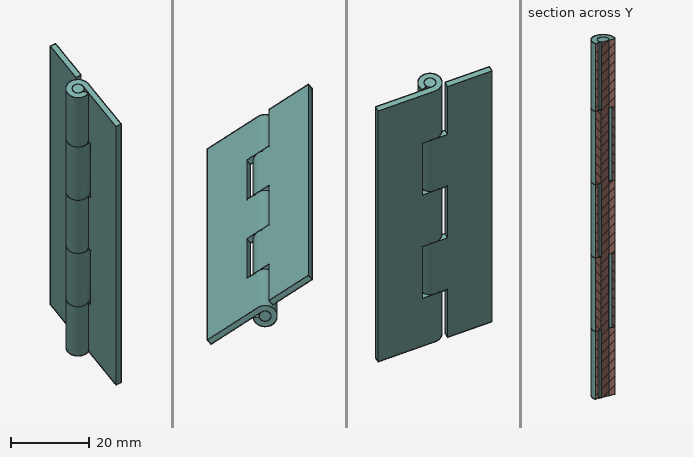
import cadquery as cq
import math

LENGTH = 100.0
WIDTH = 32.0
THICKNESS = 1.6
PIN_DIAMETER = 3.0
KNUCKLE_GAP = 0.4
INNER_KNUCKLE_LENGTH = 20.6
INNER_KNUCKLE_COUNT = 3
CURL_END_ANGLE = 27.0

PIN_RADIUS = PIN_DIAMETER / 2
BARREL_RADIUS = PIN_RADIUS + THICKNESS
LEAF_EDGE = BARREL_RADIUS + KNUCKLE_GAP
END_KNUCKLE_LENGTH = (LENGTH - INNER_KNUCKLE_COUNT * INNER_KNUCKLE_LENGTH) / 2

JOINTS = [END_KNUCKLE_LENGTH + i * INNER_KNUCKLE_LENGTH for i in range(INNER_KNUCKLE_COUNT + 1)]
LEVELS = [0.0] + JOINTS + [LENGTH]
KNUCKLES = list(zip(LEVELS[:-1], LEVELS[1:]))


def polar(radius, degrees):
    """Point at an angle around the pin axis."""
    angle = math.radians(degrees)
    return radius * math.cos(angle), radius * math.sin(angle)


def make_plate():
    """Flat part of the +X leaf, over its full length."""
    plate_width = WIDTH / 2 - LEAF_EDGE
    return cq.Workplane("XY").box(plate_width, THICKNESS, LENGTH, centered=False).translate(
        (LEAF_EDGE, PIN_RADIUS, 0)
    )


def make_knuckle(bottom, top):
    """Sheet that leaves the +X plate and curls around the pin."""
    middle_angle = (90 + 360 + CURL_END_ANGLE) / 2
    return (
        cq.Workplane("XY")
        .workplane(offset=bottom)
        .moveTo(LEAF_EDGE, BARREL_RADIUS)
        .lineTo(0, BARREL_RADIUS)
        .threePointArc(polar(BARREL_RADIUS, middle_angle), polar(BARREL_RADIUS, CURL_END_ANGLE))
        .lineTo(*polar(PIN_RADIUS, CURL_END_ANGLE))
        .threePointArc(polar(PIN_RADIUS, middle_angle), (0, PIN_RADIUS))
        .lineTo(LEAF_EDGE, PIN_RADIUS)
        .close()
        .extrude(top - bottom)
    )


def make_leaf(knuckles):
    """Plate and its knuckles, lying on the +X side."""
    leaf = make_plate()
    for bottom, top in knuckles:
        leaf = leaf.union(make_knuckle(bottom, top))
    return leaf


right_leaf = make_leaf(KNUCKLES[0::2])
left_leaf = make_leaf(KNUCKLES[1::2]).mirror("YZ")
pin = cq.Workplane("XY").circle(PIN_RADIUS).extrude(LENGTH)

result = cq.Compound.makeCompound([right_leaf.val(), left_leaf.val(), pin.val()])